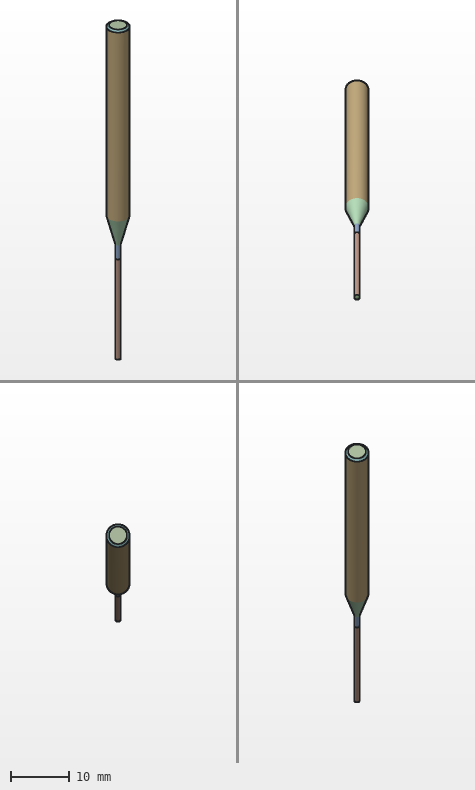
import cadquery as cq

overall_length = 67.0
cutter_length = 20.25
neck_top = 23.05
shoulder_top = 28.8
point_height = 0.15

shank_radius = 2.0
cutter_radius = 0.495
neck_radius = cutter_radius
chamfer_width = 0.5
chamfer_height = 0.35


def revolve_profile(points):
    """Turn a closed (radius, height) outline about the Z axis."""
    return cq.Workplane("XZ").polyline(points).close().revolve(360, (0, 0, 0), (0, 1, 0))


def make_cutter():
    """Slender cutting end with a shallow conical point."""
    return revolve_profile([
        (0, 0),
        (cutter_radius, point_height),
        (cutter_radius, cutter_length),
        (0, cutter_length),
    ])


def make_shank():
    """Short neck, conical shoulder and chamfered clamping shank."""
    return revolve_profile([
        (0, cutter_length),
        (neck_radius, cutter_length),
        (neck_radius, neck_top),
        (shank_radius, shoulder_top),
        (shank_radius, overall_length - chamfer_height),
        (shank_radius - chamfer_width, overall_length),
        (0, overall_length),
    ])


cutter = make_cutter()
shank = make_shank()

result = cq.Compound.makeCompound([cutter.val(), shank.val()])